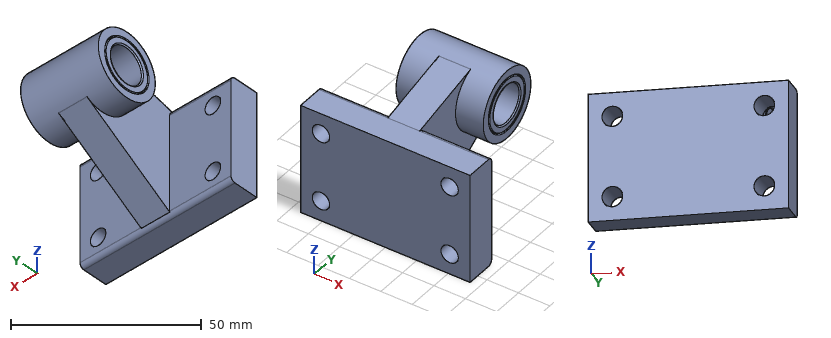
import cadquery as cq
import math

plate_width = 54.0
plate_height = 35.0
plate_thickness = 10.0
back_edge_radius = 1.5
hole_diameter = 5.5
hole_spacing_x = 41.0
hole_spacing_z = 22.0

overall_depth = 47.0
overall_height = 41.5
barrel_diameter = 22.0
barrel_length = 27.8
bore_diameter = 12.0
bore_chamfer = 0.4
barrel_radius = barrel_diameter / 2
barrel_y = overall_depth - barrel_radius
barrel_z = overall_height - barrel_radius

groove_outer_radius = 8.55
groove_inner_radius = 8.0
groove_depth = 0.25

rib_width = 10.15
rib_top_angle = 111.3
rib_foot_height = 1.2


def make_plate():
    plate = cq.Workplane("XY").box(
        plate_width, plate_thickness, plate_height, centered=(True, False, False)
    )
    plate = plate.edges("|X and >Y").fillet(back_edge_radius)
    holes = (
        cq.Workplane("XZ")
        .center(0, plate_height / 2)
        .rarray(hole_spacing_x, hole_spacing_z, 2, 2)
        .circle(hole_diameter / 2)
        .extrude(-plate_thickness)
    )
    return plate.cut(holes)


def barrel_cylinder(radius):
    return (
        cq.Workplane("YZ", origin=(-barrel_length / 2, barrel_y, barrel_z))
        .circle(radius)
        .extrude(barrel_length)
    )


def make_rib():
    top_angle = math.radians(rib_top_angle)
    top_contact = (
        barrel_y + barrel_radius * math.cos(top_angle),
        barrel_z + barrel_radius * math.sin(top_angle),
    )
    foot = (plate_thickness, rib_foot_height)
    run = barrel_y - foot[0]
    rise = barrel_z - foot[1]
    slope = math.atan2(rise, run) - math.asin(barrel_radius / math.hypot(run, rise))
    tangent_point = (
        barrel_y + barrel_radius * math.sin(slope),
        barrel_z - barrel_radius * math.cos(slope),
    )
    plate_contact_y = plate_thickness - back_edge_radius
    outline = [
        (plate_contact_y, plate_height),
        top_contact,
        (barrel_y, barrel_z),
        tangent_point,
        foot,
        (plate_contact_y, rib_foot_height),
    ]
    return cq.Workplane("YZ").polyline(outline).close().extrude(rib_width / 2, both=True)


def revolve_about_barrel_axis(profile):
    """Revolve an (X, radius) profile about the barrel axis."""
    return (
        cq.Workplane("XY", origin=(0, barrel_y, barrel_z))
        .polyline(profile)
        .close()
        .revolve(360, (0, 0, 0), (1, 0, 0))
    )


def end_face_cutters():
    """V groove and bore chamfer on both ends of the barrel."""
    bore_radius = bore_diameter / 2
    groove_middle_radius = (groove_outer_radius + groove_inner_radius) / 2
    cutters = []
    for side in (-1, 1):
        end_x = side * barrel_length / 2
        groove = [
            (end_x, groove_inner_radius),
            (end_x, groove_outer_radius),
            (end_x - side * groove_depth, groove_middle_radius),
        ]
        chamfer = [
            (end_x, 0),
            (end_x, bore_radius + bore_chamfer),
            (end_x - side * bore_chamfer, bore_radius),
            (end_x - side * bore_chamfer, 0),
        ]
        cutters += [revolve_about_barrel_axis(groove), revolve_about_barrel_axis(chamfer)]
    return cutters


result = make_plate().union(make_rib()).union(barrel_cylinder(barrel_radius))
result = result.cut(barrel_cylinder(bore_diameter / 2))
for cutter in end_face_cutters():
    result = result.cut(cutter)